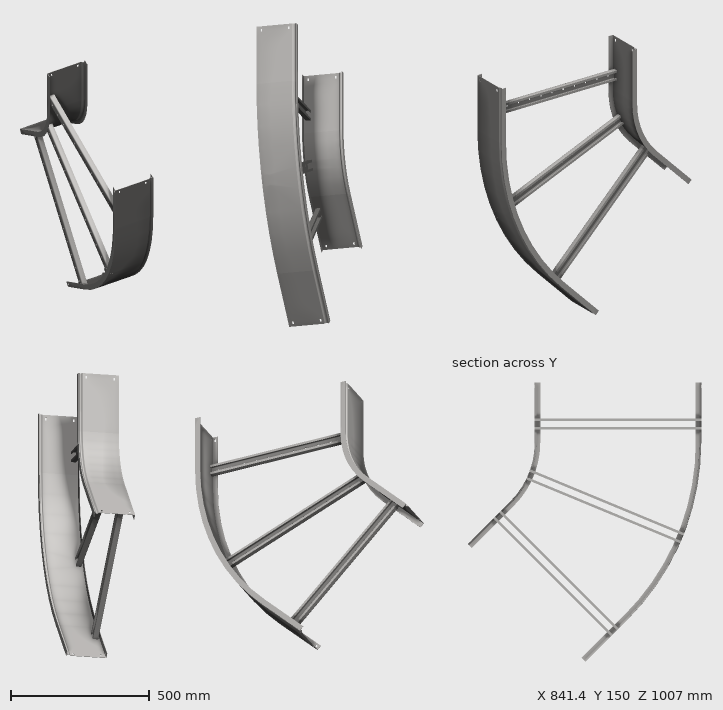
import cadquery as cq
import math

bend_angle = 45.0
inner_radius = 300.0
outer_radius = 900.0
overall_height = 1007.0

rail_depth = 150.0
sheet = 1.5
flange_width = 20.0

bead_height = 5.0
bead_start = 2.0
bead_crest_start = 7.0
bead_crest_end = 11.0
bead_end = 16.0
bead_bend_radius = 2.0

fixing_slot_width = 6.0
fixing_slot_length = 10.0
fixing_slot_from_end = 15.0
fixing_slot_from_edge = 17.0
fixing_slot_pitch = 104.0
flange_slot_inset = 10.0

rung_width = 39.0
rung_sheet = 2.0
rung_depth = 20.0
rung_lip = 9.0
rung_corner_radius = 4.0
rung_gap = 7.0
rung_from_end = 150.0

rung_slot_count = 12
rung_slot_row = 546.0
rung_slot_width = 6.0
rung_slot_length = 11.0

front_y = -rail_depth / 2
back_y = rail_depth / 2
cutter_depth = 8.0
bead_bend_drops = (bead_start, bead_crest_start, bead_crest_end, bead_end)
bend = math.radians(bend_angle)
straight_length = (overall_height - outer_radius * math.sin(bend)) / (1 + math.sin(bend))
fixing_slot_z = straight_length - fixing_slot_from_end
rung_face_y = front_y + rung_gap
rung_length = outer_radius - inner_radius
rung_slot_pitch = rung_slot_row / (rung_slot_count - 1)


def at_second_end(shape):
    """Copy of a shape in the first straight run, mirrored into the second straight run."""
    return shape.mirror("XY").rotate((0, 0, 0), (0, 1, 0), bend_angle)


def cut_at_both_ends(rail, cutter):
    """Cut a shape placed in the first straight run, and its mirrored copy, out of a rail."""
    return rail.cut(cutter).cut(at_second_end(cutter))


def rail_section(web_radius, inward):
    """Rail cross-section in X and Y; `inward` is the X sign that points into the tray."""
    outer_side = [
        (flange_width, front_y),
        (0, front_y),
        (0, back_y - bead_end),
        (bead_height, back_y - bead_crest_end),
        (bead_height, back_y - bead_crest_start),
        (0, back_y - bead_start),
        (0, back_y),
        (flange_width, back_y),
    ]
    inner_side = [
        (flange_width, back_y - sheet),
        (sheet, back_y - sheet),
        (sheet, back_y - bead_start),
        (bead_height + sheet, back_y - bead_crest_start),
        (bead_height + sheet, back_y - bead_crest_end),
        (sheet, back_y - bead_end),
        (sheet, front_y + sheet),
        (flange_width, front_y + sheet),
    ]
    points = [(web_radius + inward * depth, y) for depth, y in outer_side + inner_side]
    section = cq.Face.makeFromWires(cq.Wire.makePolygon([cq.Vector(*point) for point in points], close=True))
    bead_bends = [
        vertex
        for vertex in section.Vertices()
        if any(math.isclose(vertex.Y, back_y - drop) for drop in bead_bend_drops)
    ]
    return section.fillet2D(bead_bend_radius, bead_bends)


def rail_body(web_radius, inward):
    """Straight run, bend and straight run in one piece."""
    section = rail_section(web_radius, inward)
    straight = cq.Workplane(cq.Solid.extrudeLinear(section, cq.Vector(0, 0, straight_length)))
    curve = cq.Workplane(cq.Solid.revolve(section, bend_angle, cq.Vector(0, 0, 0), cq.Vector(0, 1, 0)))
    return curve.union(straight).union(at_second_end(straight))


def cut_web_slots(rail, web_radius):
    """Two fixing slots through the web at each rail end."""
    slot_y = front_y + fixing_slot_from_edge
    slot = cq.Workplane("XY").box(cutter_depth, fixing_slot_width, fixing_slot_length)
    for y in (slot_y, slot_y + fixing_slot_pitch):
        placed = slot.translate((web_radius, y, fixing_slot_z))
        rail = cut_at_both_ends(rail, placed)
    return rail


def cut_flange_slots(rail, web_radius, inward):
    """One fixing slot through the -Y flange at each rail end."""
    slot = cq.Workplane("XY").box(fixing_slot_width, cutter_depth, fixing_slot_length)
    placed = slot.translate((web_radius + inward * flange_slot_inset, front_y, fixing_slot_z))
    return cut_at_both_ends(rail, placed)


def make_rung():
    """Lipped channel along X, open towards +Y, with a row of slots in its face."""
    centre_x = inner_radius + rung_length / 2
    centre = (centre_x, rung_face_y + rung_depth / 2, 0)
    outside = cq.Workplane("XY").box(rung_length, rung_depth, rung_width)
    outside = outside.edges("|X and <Y").fillet(rung_corner_radius).translate(centre)
    cavity = cq.Workplane("XY").box(rung_length, rung_depth - 2 * rung_sheet, rung_width - 2 * rung_sheet)
    cavity = cavity.edges("|X and <Y").fillet(rung_corner_radius - rung_sheet).translate(centre)
    mouth = cq.Workplane("XY").box(rung_length, rung_depth, rung_width - 2 * rung_lip)
    mouth = mouth.translate((centre_x, rung_face_y + rung_depth, 0))
    slots = (
        cq.Workplane("XZ", origin=(centre_x, rung_face_y + cutter_depth / 2, 0))
        .rarray(rung_slot_pitch, 10, rung_slot_count, 1)
        .rect(rung_slot_width, rung_slot_length)
        .extrude(cutter_depth)
    )
    return outside.cut(cavity).cut(mouth).cut(slots)


rung_on_tangent = make_rung()
first_rung = rung_on_tangent.translate((0, 0, straight_length - rung_from_end))
middle_rung = rung_on_tangent.rotate((0, 0, 0), (0, 1, 0), bend_angle / 2)
rungs = [first_rung, middle_rung, at_second_end(first_rung)]

inner_rail = rail_body(inner_radius, 1)
inner_rail = cut_web_slots(inner_rail, inner_radius)

outer_rail = rail_body(outer_radius, -1)
outer_rail = cut_web_slots(outer_rail, outer_radius)
outer_rail = cut_flange_slots(outer_rail, outer_radius, -1)

for rung in rungs:
    inner_rail = inner_rail.cut(rung)
    outer_rail = outer_rail.cut(rung)

result = cq.Compound.makeCompound([inner_rail.val(), outer_rail.val(), *[rung.val() for rung in rungs]])